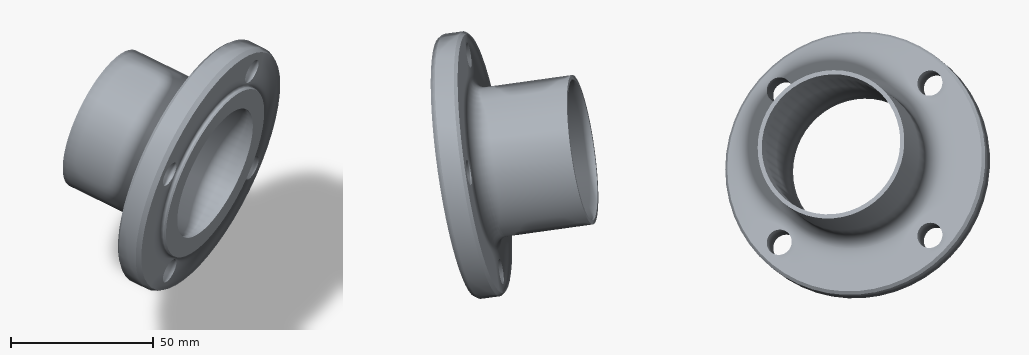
import cadquery as cq
import math

flange_start = 35.1
flange_end = 44.7
total_length = 46.5

bore_radius = 50.0 / 2
tube_radius = 53.0 / 2
raised_face_radius = 65.6 / 2
flange_radius = 94 / 2

neck_fillet = 4.0
rim_chamfer_radial = 1.0
tube_side_chamfer_length = 1.1
face_side_chamfer_length = 1.7
raised_face_fillet = 0.6
raised_face_chamfer_length = 0.6
raised_face_chamfer_radial = 0.3

bolt_count = 4
bolt_hole_diameter = 9.0
bolt_circle_radius = 77.0 / 2
first_bolt_angle = 45


def add_concave_fillet(profile, end, center, radius, side_x):
    """Add a quarter arc below its center, on the side given by side_x (+1 or -1)."""
    diagonal = radius / math.sqrt(2)
    middle = (center[0] + side_x * diagonal, center[1] - diagonal)
    return profile.threePointArc(middle, end)


def make_body():
    """Revolve the tube, flange and raised face about the X axis."""
    rim_edge = flange_radius - rim_chamfer_radial
    neck_start = (flange_start - neck_fillet, tube_radius)
    neck_end = (flange_start, tube_radius + neck_fillet)
    face_start = (flange_end, raised_face_radius + raised_face_fillet)
    face_end = (flange_end + raised_face_fillet, raised_face_radius)

    profile = cq.Workplane("XY").moveTo(0, bore_radius).lineTo(0, tube_radius).lineTo(*neck_start)
    profile = add_concave_fillet(profile, neck_end, (neck_start[0], neck_end[1]), neck_fillet, 1)
    profile = (
        profile.lineTo(flange_start, rim_edge)
        .lineTo(flange_start + tube_side_chamfer_length, flange_radius)
        .lineTo(flange_end - face_side_chamfer_length, flange_radius)
        .lineTo(flange_end, rim_edge)
        .lineTo(*face_start)
    )
    profile = add_concave_fillet(profile, face_end, (face_end[0], face_start[1]), raised_face_fillet, -1)
    return (
        profile.lineTo(total_length - raised_face_chamfer_length, raised_face_radius)
        .lineTo(total_length, raised_face_radius - raised_face_chamfer_radial)
        .lineTo(total_length, bore_radius)
        .close()
        .revolve(360, (0, 0, 0), (1, 0, 0))
    )


def make_bolt_holes():
    """Cylinders along X, evenly spaced on the bolt circle."""
    return (
        cq.Workplane("YZ")
        .polarArray(bolt_circle_radius, first_bolt_angle, 360, bolt_count)
        .circle(bolt_hole_diameter / 2)
        .extrude(total_length)
    )


result = make_body().cut(make_bolt_holes())